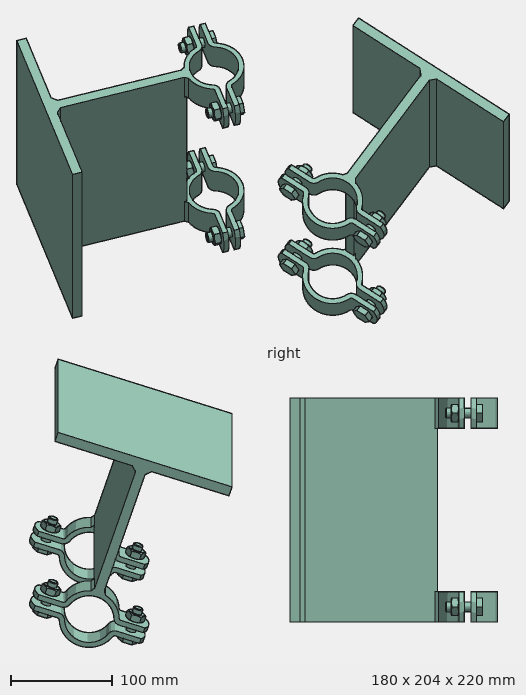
import cadquery as cq
import math

plate_width = 180.0
plate_thickness = 10.0
bracket_height = 220
bracket_depth = 204.0
web_thickness = 10.0
web_weld_leg = 5.0

ring_radius = 29.5
strap_thickness = 5.3
strap_height = 30.0
strap_gap = 6.5
strap_length = 118.1
bend_radius = 2.6
ear_end_radius = 28.2
clamp_weld_width = 2.6
clamp_weld_length = 3.7

bolt_spacing = 87.8
bolt_diameter = 10.0
bolt_tip_diameter = 8.1
bolt_tip_length = 0.9
hex_across_flats = 17.0
nut_face_diameter = 15.5
nut_chamfer_angle = 30
head_height = 6.0
nut_height = 7.7
bolt_projection = 5.3

ring_center_y = bracket_depth - ring_radius
web_end_y = ring_center_y - ring_radius
ear_inner = strap_gap / 2
ear_outer = ear_inner + strap_thickness
hex_across_corners = hex_across_flats / math.cos(math.radians(30))
clamp_bases = (0, bracket_height - strap_height)


def make_tee():
    """Plate and web with a chamfer-shaped weld in both corners."""
    half_plate = plate_width / 2
    half_web = web_thickness / 2
    half_outline = [
        (half_plate, 0),
        (half_plate, plate_thickness),
        (half_web + web_weld_leg, plate_thickness),
        (half_web, plate_thickness + web_weld_leg),
        (half_web, web_end_y),
    ]
    mirrored = [(-x, y) for x, y in reversed(half_outline)]
    return cq.Workplane("XY").polyline(half_outline + mirrored).close().extrude(bracket_height)


def make_strap():
    """Half clamp on the +Y side of the split, centred on the pipe axis."""
    ring_inner = ring_radius - strap_thickness
    half_length = strap_length / 2

    bend_y = ear_outer + bend_radius
    bend_x = math.sqrt((ring_radius + bend_radius) ** 2 - bend_y**2)
    bend_angle = math.atan2(bend_y, bend_x)
    mid_angle = (bend_angle + math.pi / 2) / 2

    def on_ring(radius):
        return radius * math.cos(bend_angle), radius * math.sin(bend_angle)

    def on_bend(radius):
        return bend_x - radius * math.cos(mid_angle), bend_y - radius * math.sin(mid_angle)

    def mirror(point):
        return -point[0], point[1]

    outer_bend = on_bend(bend_radius)
    inner_bend = on_bend(bend_radius + strap_thickness)
    outer_ring = on_ring(ring_radius)
    inner_ring = on_ring(ring_inner)
    strap = (
        cq.Workplane("XY")
        .moveTo(half_length, ear_inner)
        .lineTo(half_length, ear_outer)
        .lineTo(bend_x, ear_outer)
        .threePointArc(outer_bend, outer_ring)
        .threePointArc((0, ring_radius), mirror(outer_ring))
        .threePointArc(mirror(outer_bend), (-bend_x, ear_outer))
        .lineTo(-half_length, ear_outer)
        .lineTo(-half_length, ear_inner)
        .lineTo(-bend_x, ear_inner)
        .threePointArc(mirror(inner_bend), mirror(inner_ring))
        .threePointArc((0, ring_inner), inner_ring)
        .threePointArc(inner_bend, (bend_x, ear_inner))
        .close()
        .extrude(strap_height)
    )
    return strap.intersect(make_ear_profile())


def make_ear_profile():
    """Block with the clamp's XZ outline, which has bowed ends."""
    half_length = strap_length / 2
    half_height = strap_height / 2
    bow = ear_end_radius - math.sqrt(ear_end_radius**2 - half_height**2)
    corner_x = half_length - bow
    return (
        cq.Workplane("XZ")
        .moveTo(-corner_x, 0)
        .lineTo(corner_x, 0)
        .threePointArc((half_length, half_height), (corner_x, strap_height))
        .lineTo(-corner_x, strap_height)
        .threePointArc((-half_length, half_height), (-corner_x, 0))
        .close()
        .extrude(2 * ring_radius, both=True)
    )


def make_clamp_weld():
    """Weld between the ring and the end of the web."""
    half_web = web_thickness / 2
    toe_x = half_web + clamp_weld_width
    toe_y = -math.sqrt(ring_radius**2 - toe_x**2)
    root_y = toe_y - clamp_weld_length
    block = (
        cq.Workplane("XY")
        .polyline([(-toe_x, toe_y), (-half_web, root_y), (half_web, root_y), (toe_x, toe_y)])
        .close()
        .extrude(strap_height)
    )
    pipe_side = cq.Workplane("XY").circle(ring_radius - strap_thickness / 2).extrude(strap_height)
    return block.cut(pipe_side)


def make_hex(height):
    """Hexagon along +Z from Z = 0, with two corners on the X axis."""
    return cq.Workplane("XY").polygon(6, hex_across_corners).extrude(height)


def make_nut():
    """Solid nut along +Z from Z = 0, with a conical chamfer on both faces."""
    corner_radius = hex_across_corners / 2
    face_radius = nut_face_diameter / 2
    drop = (corner_radius - face_radius) * math.tan(math.radians(nut_chamfer_angle))
    envelope_outline = [
        (0, 0),
        (face_radius, 0),
        (corner_radius, drop),
        (corner_radius, nut_height - drop),
        (face_radius, nut_height),
        (0, nut_height),
    ]
    envelope = cq.Workplane("XZ").polyline(envelope_outline).close().revolve(360, (0, 0), (0, 1))
    return make_hex(nut_height).intersect(envelope)


def make_bolt():
    """Bolt and nut along Z, with Z = 0 midway between the ears and the head at +Z."""
    tip_z = -(ear_outer + nut_height + bolt_projection)
    radius = bolt_diameter / 2
    shank_outline = [
        (0, ear_outer),
        (radius, ear_outer),
        (radius, tip_z + bolt_tip_length),
        (bolt_tip_diameter / 2, tip_z),
        (0, tip_z),
    ]
    shank = cq.Workplane("XZ").polyline(shank_outline).close().revolve(360, (0, 0), (0, 1))
    head = make_hex(head_height).translate((0, 0, ear_outer))
    nut = make_nut().translate((0, 0, -ear_outer - nut_height))
    return shank.union(head).union(nut)


def make_clamp():
    """Two straps, the weld and two bolts, centred on the pipe axis with the base at Z = 0."""
    strap = make_strap()
    clamp = strap.union(strap.mirror("XZ")).union(make_clamp_weld())
    bolt = make_bolt().rotate((0, 0, 0), (1, 0, 0), -90)
    for side in (-1, 1):
        clamp = clamp.union(bolt.translate((side * bolt_spacing / 2, 0, strap_height / 2)))
    return clamp


result = make_tee()
clamp = make_clamp()
for base_z in clamp_bases:
    result = result.union(clamp.translate((0, ring_center_y, base_z)))